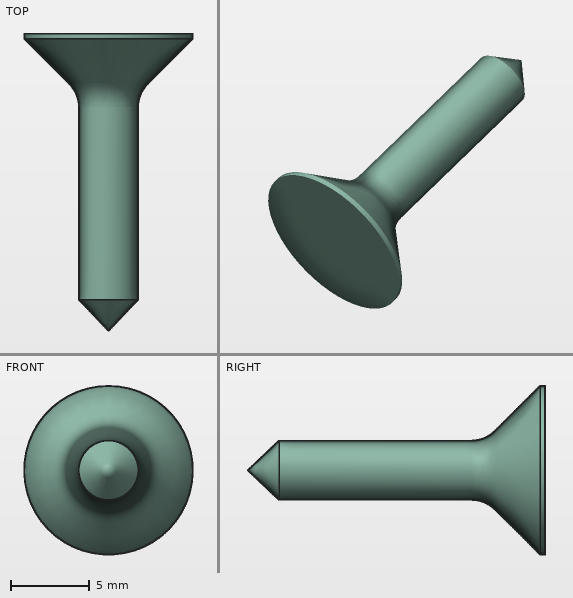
import cadquery as cq
import math

total_length = 19.0
head_diameter = 10.8
rim_thickness = 0.32
shank_diameter = 3.8
head_cone_half_angle = math.radians(45)
neck_fillet_radius = 2.1
tip_length = 2.0

head_radius = head_diameter / 2
shank_radius = shank_diameter / 2
head_cone_length = (head_radius - shank_radius) / math.tan(head_cone_half_angle)


neck_y = -(rim_thickness + head_cone_length)

tangent_length = neck_fillet_radius * math.tan(head_cone_half_angle / 2)
fillet_end_y = neck_y - tangent_length
fillet_start = (
    shank_radius + tangent_length * math.sin(head_cone_half_angle),
    neck_y + tangent_length * math.cos(head_cone_half_angle),
)
fillet_middle = (
    shank_radius + neck_fillet_radius * (1 - math.cos(head_cone_half_angle / 2)),
    fillet_end_y + neck_fillet_radius * math.sin(head_cone_half_angle / 2),
)

half_profile = (
    cq.Workplane("ZY")
    .moveTo(0, 0)
    .lineTo(head_radius, 0)
    .lineTo(head_radius, -rim_thickness)
    .lineTo(*fillet_start)
    .threePointArc(fillet_middle, (shank_radius, fillet_end_y))
    .lineTo(shank_radius, -(total_length - tip_length))
    .lineTo(0, -total_length)
    .close()
)

result = half_profile.revolve(360, (0, 0, 0), (0, 1, 0))